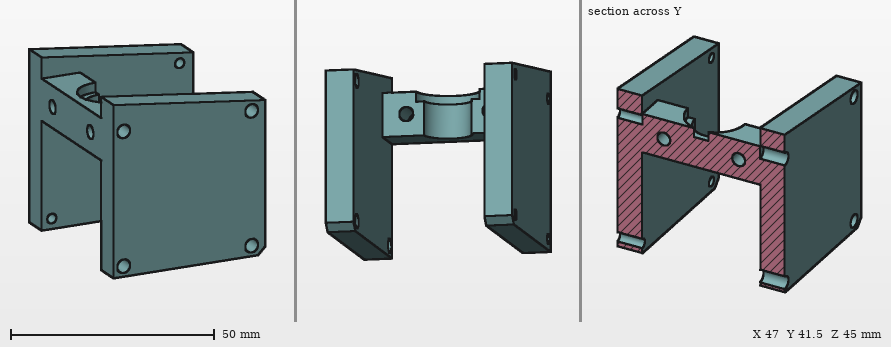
import cadquery as cq

width = 47.0
depth = 41.5
front_height = 45.0
back_height = 40.0

plate_thickness = 7.0
corner_chamfer = 2.0

bar_depth = 10.5
bar_bottom = 28.5
bar_top = 39.5

bore_diameter = 12.0
counterbore_diameter = 16.0
counterbore_depth = 2.5

bar_hole_diameter = 3.5
bar_hole_spacing = 21.0

plate_hole_spacing = 35.0
plate_hole_inset = 2.75
left_hole_diameter = 2.5
right_hole_diameter = 3.5

center_x = width / 2
right_plate_x = width - plate_thickness


def side_plate(start_x):
    """Plate with a sloping top edge and a chamfered lower back corner."""
    outline = [
        (0, 0),
        (depth - corner_chamfer, 0),
        (depth, corner_chamfer),
        (depth, back_height),
        (0, front_height),
    ]
    return cq.Workplane("YZ", origin=(start_x, 0, 0)).polyline(outline).close().extrude(plate_thickness)


def crossbar():
    """Plain bar spanning the full width, so that it merges with both plates."""
    return cq.Workplane("XY", origin=(0, 0, bar_bottom)).rect(width, bar_depth, centered=False).extrude(
        bar_top - bar_bottom
    )


def seat_cutter():
    """Stepped vertical cylinder centred on the back face of the crossbar."""
    bore = (
        cq.Workplane("XY", origin=(center_x, bar_depth, bar_bottom))
        .circle(bore_diameter / 2)
        .extrude(bar_top - bar_bottom)
    )
    counterbore = (
        cq.Workplane("XY", origin=(center_x, bar_depth, bar_top))
        .circle(counterbore_diameter / 2)
        .extrude(-counterbore_depth)
    )
    return bore.union(counterbore)


def bar_hole_cutters():
    """Pair of cylinders along Y at mid-height of the crossbar."""
    half_spacing = bar_hole_spacing / 2
    return (
        cq.Workplane("XZ", origin=(center_x, 0, (bar_bottom + bar_top) / 2))
        .pushPoints([(-half_spacing, 0), (half_spacing, 0)])
        .circle(bar_hole_diameter / 2)
        .extrude(-bar_depth)
    )


def plate_hole_cutters(start_x, diameter):
    """Four cylinders along X, one plate thickness long."""
    pattern_center = plate_hole_inset + plate_hole_spacing / 2
    return (
        cq.Workplane("YZ", origin=(start_x, pattern_center, pattern_center))
        .rarray(plate_hole_spacing, plate_hole_spacing, 2, 2)
        .circle(diameter / 2)
        .extrude(plate_thickness)
    )


result = side_plate(0).union(side_plate(right_plate_x)).union(crossbar())
result = result.cut(seat_cutter())
result = result.cut(bar_hole_cutters())
result = result.cut(plate_hole_cutters(0, left_hole_diameter))
result = result.cut(plate_hole_cutters(right_plate_x, right_hole_diameter))